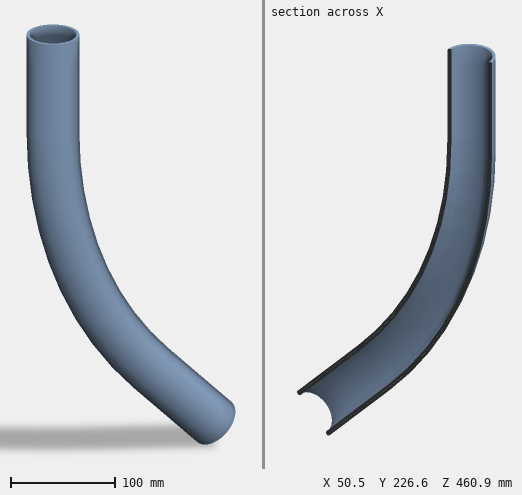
import cadquery as cq
import math

outer_diameter = 50.5
inner_diameter = 44.5
straight_length = 101.5
bend_radius = 381.5
bend_angle = math.radians(45)


def bend_point(angle):
    """Centreline point (Y, Z) after turning by angle from the upper straight."""
    y = bend_radius * (1 - math.cos(angle))
    z = -bend_radius * math.sin(angle)
    return y, z


bend_end_y, bend_end_z = bend_point(bend_angle)
lower_end = (
    bend_end_y + straight_length * math.sin(bend_angle),
    bend_end_z - straight_length * math.cos(bend_angle),
)
centreline = (
    cq.Workplane("YZ")
    .moveTo(0, straight_length)
    .lineTo(0, 0)
    .threePointArc(bend_point(bend_angle / 2), (bend_end_y, bend_end_z))
    .lineTo(*lower_end)
)

result = (
    cq.Workplane("XY", origin=(0, 0, straight_length))
    .circle(outer_diameter / 2)
    .circle(inner_diameter / 2)
    .sweep(centreline)
)